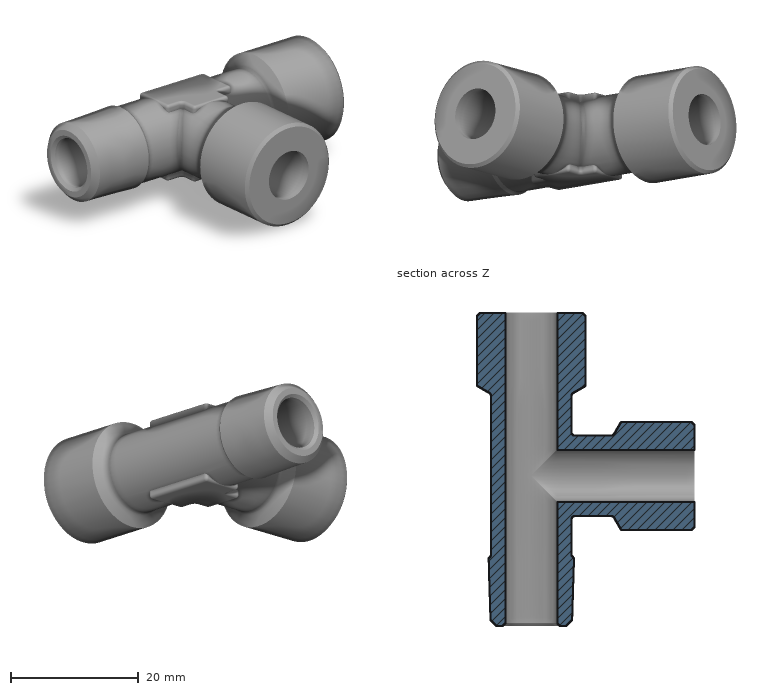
import cadquery as cq
import math


total_length = 49.0
total_width = 34.0
socket_diameter = 17.0
socket_radius = socket_diameter / 2
socket_reach = total_width - socket_radius
spigot_reach = total_length - socket_reach

tube_radius = 6.3
bore_radius = 4.0
crotch_fillet = 0.5

socket_length = 11.45
socket_rim_chamfer = 0.5
neck_half_angle = 60.0
neck_fillet = 0.5
edge_search = 0.05
neck_length = (socket_radius - tube_radius) / math.tan(math.radians(neck_half_angle))

spigot_length = 10.6
spigot_root_radius = 6.7
spigot_tip_radius = 6.4
spigot_tip_chamfer = 1.0
spigot_shoulder_length = 0.5
spigot_bore_chamfer = 0.5

pad_reach = 6.5
pad_height = 6.4
pad_width = 7.1
pad_half_width = pad_width / 2
pad_fillet = 0.5


def socket_arm():
    """Solid tube from the origin along +Y, widening into a socket."""
    shoulder = socket_reach - socket_length
    neck_start = shoulder - neck_length
    arm = (
        cq.Workplane("XY")
        .lineTo(tube_radius, 0)
        .lineTo(tube_radius, neck_start)
        .lineTo(socket_radius, shoulder)
        .lineTo(socket_radius, socket_reach)
        .lineTo(0, socket_reach)
        .close()
        .revolve(360, (0, 0, 0), (0, 1, 0))
    )
    neck_edge = cq.selectors.BoxSelector(
        (-socket_radius, neck_start - edge_search, -socket_radius),
        (socket_radius, neck_start + edge_search, socket_radius),
        boundingbox=True,
    )
    arm = arm.edges(neck_edge).fillet(neck_fillet)
    return arm.faces(">Y").chamfer(socket_rim_chamfer)


def spigot_arm():
    """Solid tube from the origin along -Y, ending in the tapered spigot."""
    root = -(spigot_reach - spigot_length)
    chamfer_start = -(spigot_reach - spigot_tip_chamfer)
    return (
        cq.Workplane("XY")
        .lineTo(tube_radius, 0)
        .lineTo(tube_radius, root + spigot_shoulder_length)
        .lineTo(spigot_root_radius, root)
        .lineTo(spigot_tip_radius, chamfer_start)
        .lineTo(spigot_tip_radius - spigot_tip_chamfer, -spigot_reach)
        .lineTo(0, -spigot_reach)
        .close()
        .revolve(360, (0, 0, 0), (0, 1, 0))
    )


def pad():
    """T-shaped pad rising from the axis plane, with rounded corners and top edge."""
    bar = cq.Workplane("XY").rect(2 * pad_half_width, 2 * pad_reach).extrude(pad_height)
    stem = (
        cq.Workplane("XY")
        .center(pad_reach / 2, 0)
        .rect(pad_reach, 2 * pad_half_width)
        .extrude(pad_height)
    )
    rounded = bar.union(stem).edges("|Z").fillet(pad_fillet)
    return rounded.faces(">Z").edges().fillet(pad_fillet)


def bore(length):
    """Round cutter along +Y from the origin."""
    return cq.Workplane("XZ").circle(bore_radius).extrude(-length)


def spigot_bore():
    """Round cutter along -Y from the origin, flared at the spigot mouth."""
    mouth_radius = bore_radius + spigot_bore_chamfer
    return (
        cq.Workplane("XY")
        .lineTo(bore_radius, 0)
        .lineTo(bore_radius, spigot_bore_chamfer - spigot_reach)
        .lineTo(mouth_radius, -spigot_reach)
        .lineTo(0, -spigot_reach)
        .close()
        .revolve(360, (0, 0, 0), (0, 1, 0))
    )


def turn_to_branch(shape):
    """Turn a shape lying along +Y so that it lies along +X."""
    return shape.rotate((0, 0, 0), (0, 0, 1), -90)


run = socket_arm().union(spigot_arm()).clean()
tubes = run.union(turn_to_branch(socket_arm())).clean()
upper_pad = pad()
body = tubes.union(upper_pad).union(upper_pad.mirror("XY"))

crotch_zone = cq.selectors.BoxSelector(
    (pad_half_width, -pad_reach, -pad_reach),
    (pad_reach, pad_reach, pad_reach),
    boundingbox=True,
)
body = body.edges("%ELLIPSE").edges(crotch_zone).fillet(crotch_fillet)

result = (
    body
    .cut(spigot_bore())
    .cut(bore(socket_reach))
    .cut(turn_to_branch(bore(socket_reach)))
)